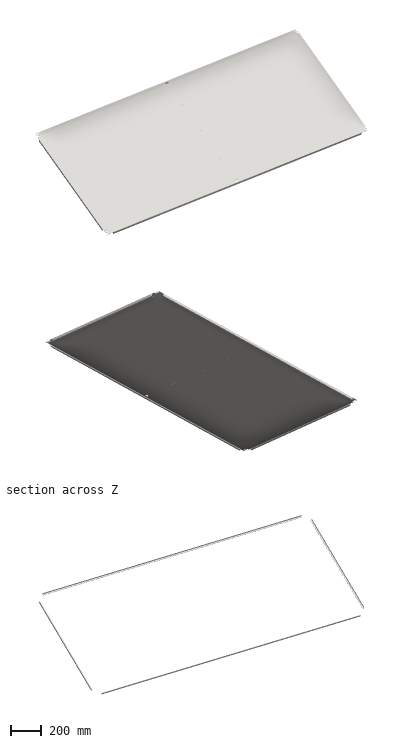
import cadquery as cq

width = 997.0
length = 1940.0
height = 18.0
sheet = 2.3
corner_chamfer = 6.2

lip_width = 12.0
end_rim_setback = 60.0
side_rim_setback = 50.0

corner_slot_width = 12.0
corner_slot_depth = 17.0
corner_slot_insets = (14.0, 30.0)

edge_slot_width = 12.0
edge_slot_length = 25.0
edge_slot_inset = 17.0

hole_diameter = 4.0
hole_spacing = 31.0
pair_pitch = 250.0
pair_count = 3


def plate_plane():
    """Workplane on the underside of the plate."""
    return cq.Workplane("XY").workplane(offset=height - sheet)


def make_plate():
    """Flat top plate with clipped corners."""
    return plate_plane().rect(width, length).extrude(sheet).edges("|Z").chamfer(corner_chamfer)


def make_rim(edge_offset, run, angle):
    """Wall and inward lip for the edge facing the given angle from +X."""
    profile = [
        (edge_offset, height),
        (edge_offset, 0),
        (edge_offset - lip_width, 0),
        (edge_offset - lip_width, sheet),
        (edge_offset - sheet, sheet),
        (edge_offset - sheet, height),
    ]
    rim = cq.Workplane("XZ").polyline(profile).close().extrude(run / 2, both=True)
    return rim.rotate((0, 0, 0), (0, 0, 1), angle)


def make_corner_slots():
    """Round-ended slots running in from the end edges."""
    centers = [
        (side * (width / 2 - inset), end * length / 2)
        for side in (-1, 1)
        for end in (-1, 1)
        for inset in corner_slot_insets
    ]
    slots = plate_plane().pushPoints(centers)
    return slots.slot2D(2 * corner_slot_depth, corner_slot_width, 90).extrude(sheet)


def make_edge_slots():
    """Slots lying along the long edges, halfway down the panel."""
    centers = [(side * (width / 2 - edge_slot_inset), 0) for side in (-1, 1)]
    slots = plate_plane().pushPoints(centers)
    return slots.slot2D(edge_slot_length, edge_slot_width, 90).extrude(sheet)


def make_hole_pairs():
    """Evenly pitched pairs of holes on the X axis."""
    centers = [
        ((index - (pair_count - 1) / 2) * pair_pitch + side * hole_spacing / 2, 0)
        for index in range(pair_count)
        for side in (-1, 1)
    ]
    return plate_plane().pushPoints(centers).circle(hole_diameter / 2).extrude(sheet)


panel = make_plate()
for angle in (0, 180):
    panel = panel.union(make_rim(width / 2, length - 2 * side_rim_setback, angle))
for angle in (90, 270):
    panel = panel.union(make_rim(length / 2, width - 2 * end_rim_setback, angle))

result = panel.cut(make_corner_slots()).cut(make_edge_slots()).cut(make_hole_pairs())